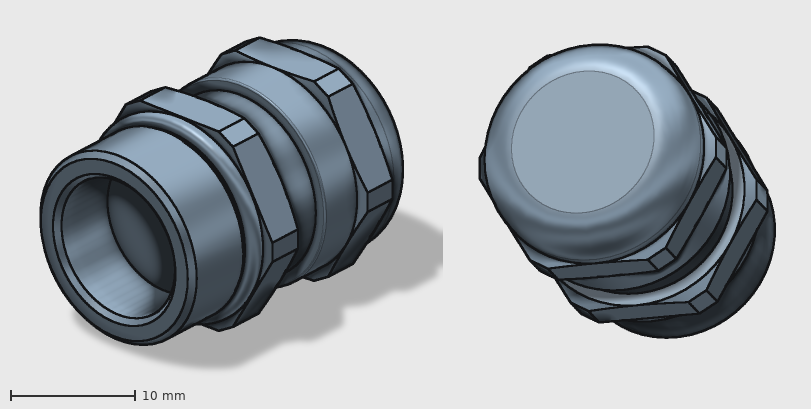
import cadquery as cq
import math

thread_end = 6.75
ring_start = 6.75
body_hex_start = 8.0
body_hex_end = 11.5
neck_end = 15.52
cap_hex_start = 19.45
cap_hex_end = 23.0
cap_end = 27.0

thread_diameter = 16.65
neck_diameter = 16.0
cap_diameter = 18.0
ring_diameter = 18.17
ring_section = 1.5
bore_diameter = 12.07

hex_flats = 18.0
hex_corners = 19.8

bore_depth = 6.13
thread_chamfer = 0.5
bore_chamfer = 0.49
dome_radius = 3.02
collar_edge_radius = 0.15
body_hex_bevel = 0.38
cap_hex_bevel = 0.27


def disc(start, end, diameter):
    """Round length of the body between two stations."""
    plane = cq.Plane(origin=(0, start, 0), xDir=(1, 0, 0), normal=(0, 1, 0))
    return cq.Workplane(plane).circle(diameter / 2).extrude(end - start)


def turned(points):
    """Solid turned about the Y axis from (radius, station) points."""
    return cq.Workplane("XY").polyline(points).close().revolve(360, (0, 0, 0), (0, 1, 0))


def hex_prism(start, end, flats, turn):
    """Hexagonal prism along Y; with no turn, two of its sides face along X."""
    prism = cq.Workplane("XZ").polygon(6, flats, circumscribed=True).extrude(start - end)
    return prism.translate((0, start, 0)).rotate((0, 0, 0), (0, 1, 0), turn)


def hex_nut(start, end):
    """Hexagon between two stations with its corners flattened."""
    sides = hex_prism(start, end, hex_flats, 30)
    corners = hex_prism(start, end, hex_corners, 0)
    return sides.intersect(corners)


def hex_bevel(face, depth):
    """Cutter that bevels a hexagon's end face; a negative depth cuts toward -Y."""
    sharp_corner_radius = hex_flats / 2 / math.cos(math.radians(30))
    corner_half_width = (sharp_corner_radius - hex_corners / 2) * math.tan(math.radians(60))
    edge_radius = math.hypot(hex_corners / 2, corner_half_width)
    face_radius = hex_flats / 2
    return turned([(face_radius, face), (edge_radius, face), (edge_radius, face + depth)])


def sealing_ring():
    """Round-section ring at the foot of the body hexagon, partly sunk into it."""
    section_radius = ring_section / 2
    centre_radius = (ring_diameter - ring_section) / 2
    return (
        cq.Workplane("XY")
        .center(-centre_radius, ring_start + section_radius)
        .circle(section_radius)
        .revolve(360, (centre_radius, 0, 0), (centre_radius, 1, 0))
    )


def bore():
    """Cutter for the blind bore and its countersunk mouth."""
    radius = bore_diameter / 2
    return turned([
        (0, 0),
        (radius + bore_chamfer, 0),
        (radius, bore_chamfer),
        (radius, bore_depth),
        (0, bore_depth),
    ])


thread = disc(0, thread_end, thread_diameter).faces("<Y or >Y").chamfer(thread_chamfer)
core = disc(thread_end, neck_end, neck_diameter)
body_hex = hex_nut(body_hex_start, body_hex_end).cut(hex_bevel(body_hex_end, -body_hex_bevel))

cap = disc(neck_end, cap_end, cap_diameter)
cap = cap.faces(">Y").edges().fillet(dome_radius)
cap = cap.faces("<Y").edges().fillet(collar_edge_radius)
cap_hex = hex_nut(cap_hex_start, cap_hex_end)
cap_hex = cap_hex.cut(hex_bevel(cap_hex_start, cap_hex_bevel))
cap_hex = cap_hex.cut(hex_bevel(cap_hex_end, -cap_hex_bevel))

result = thread
for section in (core, sealing_ring(), body_hex, cap, cap_hex):
    result = result.union(section)
result = result.cut(bore())